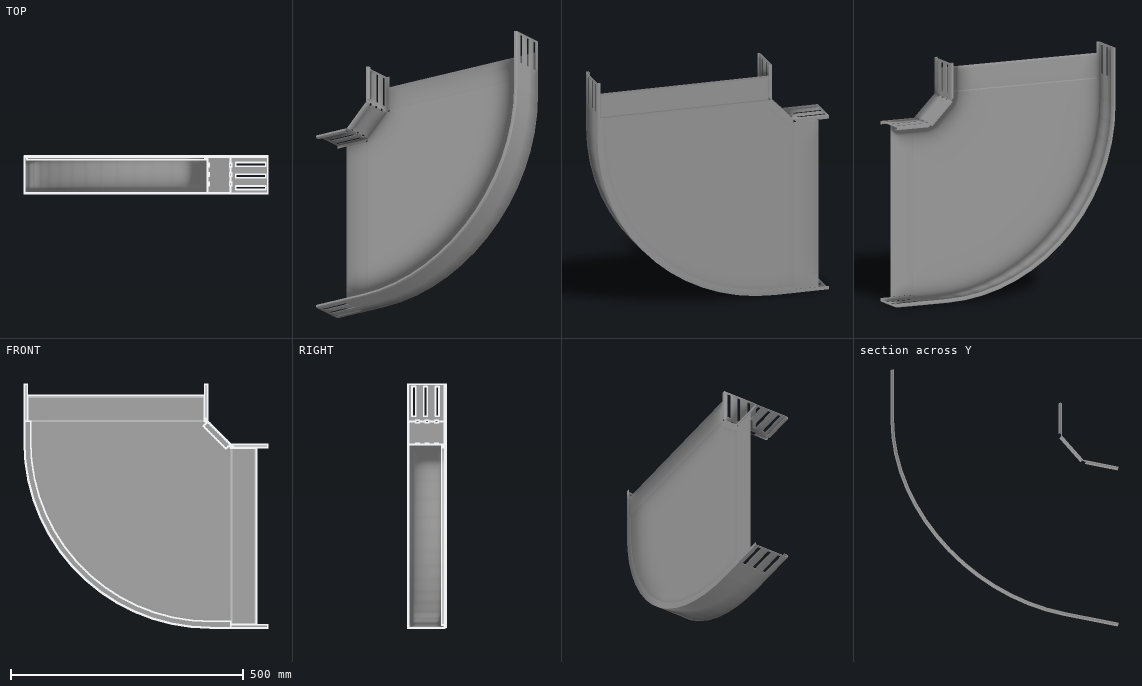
import cadquery as cq
import math

SPAN = 525.0
HEIGHT = 82.0
SHEET = 1.0
BEND_RADIUS = 401.0
TRAY_WIDTH = 396.0

LIP_WIDTH = 7.5
LIP_DEPTH = 9.5
LIP_BEVEL_WIDTH = 1.5
LIP_BEVEL_DEPTH = 3.5
NARROW_FLANGE = LIP_WIDTH
WIDE_FLANGE = 14.0

PLATE_Y = SHEET

TONGUE_ROOT = SPAN - 80.5
TONGUE_END = SPAN - 24.0
STEP_LENGTH = 2.5
TONGUE_Y = PLATE_Y / 2
END_LIP_LENGTH = 4.0
TONGUE_CLEARANCE = 0.5

SLOT_COUNT = 3
SLOT_LENGTH = 63.5
SLOT_WIDTH = 7.5
SLOT_PITCH = 25.0
SLOT_END_MARGIN = 5.0
MIDDLE_SLOT_Y = 38.0

PERFORATION_COUNT = 3
PERFORATION_SIZE = 4.5
PERFORATION_HEIGHT = 7.0


def mirrored(leg):
    """Copy of a leg along Z, reflected in the plane X = Z to lie along X."""
    return leg.mirror((1, 0, -1), (0, 0, 0))


def lip_points():
    """Folded lip, from the top of the wall's outer face round to its inner face."""
    bevel_y = HEIGHT - LIP_BEVEL_DEPTH
    hem_y = HEIGHT - LIP_DEPTH
    under_y = HEIGHT - SHEET
    return [
        (0, bevel_y),
        (LIP_BEVEL_WIDTH, HEIGHT),
        (LIP_WIDTH - LIP_BEVEL_WIDTH, HEIGHT),
        (LIP_WIDTH, bevel_y),
        (LIP_WIDTH, hem_y),
        (LIP_WIDTH - SHEET, hem_y),
        (LIP_WIDTH - SHEET, bevel_y),
        (LIP_WIDTH - LIP_BEVEL_WIDTH - SHEET / 2, under_y),
        (LIP_BEVEL_WIDTH + SHEET / 2, under_y),
        (SHEET, bevel_y),
    ]


def wall_section(plane, flange_width):
    """Closed wall section: local x runs into the tray, local y runs up the wall."""
    flange_points = [
        (SHEET, SHEET),
        (flange_width, SHEET),
        (flange_width, 0),
        (0, 0),
    ]
    return cq.Workplane(plane).polyline(lip_points() + flange_points).close()


def leg_slots():
    """Cutters for the connector slots, through both walls at the tray end along Z."""
    slot_z = SPAN - SLOT_END_MARGIN - SLOT_LENGTH / 2
    cutters = cq.Workplane("XY")
    for index in range(SLOT_COUNT):
        slot_y = MIDDLE_SLOT_Y + (index - (SLOT_COUNT - 1) / 2) * SLOT_PITCH
        cutter = cq.Workplane("XY").box(3 * TRAY_WIDTH, SLOT_WIDTH, SLOT_LENGTH)
        cutters = cutters.add(cutter.translate((0, slot_y, slot_z)))
    return cutters.combine()


def make_outer_wall():
    """Quarter-round outer wall with a straight leg at each end."""
    arc_end = cq.Plane(origin=(0, 0, BEND_RADIUS))
    curve = wall_section(arc_end, WIDE_FLANGE).revolve(90, (BEND_RADIUS, 0), (BEND_RADIUS, -1))
    lapped = wall_section(arc_end, WIDE_FLANGE).extrude(TONGUE_ROOT - BEND_RADIUS)
    tongue_root = cq.Plane(origin=(0, 0, TONGUE_ROOT))
    free_end = wall_section(tongue_root, NARROW_FLANGE).extrude(SPAN - TONGUE_ROOT)
    leg = lapped.union(free_end).cut(leg_slots())
    return curve.union(leg).union(mirrored(leg))


def make_inner_wall():
    """Inner wall: two straight legs joined by a 45 degree corner panel."""
    fold_run = TONGUE_ROOT - TRAY_WIDTH

    leg_end = cq.Plane(origin=(TRAY_WIDTH, 0, SPAN), xDir=(-1, 0, 0), normal=(0, 0, -1))
    leg = wall_section(leg_end, NARROW_FLANGE).extrude(SPAN - TONGUE_ROOT)
    miter_x = TRAY_WIDTH - SHEET
    miter = (
        cq.Workplane("XZ")
        .moveTo(miter_x, TONGUE_ROOT)
        .lineTo(miter_x - LIP_WIDTH, TONGUE_ROOT + LIP_WIDTH)
        .lineTo(miter_x - LIP_WIDTH, TONGUE_ROOT)
        .close()
        .extrude(-HEIGHT)
    )
    leg = leg.cut(miter).cut(leg_slots())

    fold = cq.Plane(origin=(TRAY_WIDTH, 0, TONGUE_ROOT), xDir=(-1, 0, -1), normal=(1, 0, -1))
    panel = wall_section(fold, WIDE_FLANGE).extrude(fold_run * math.sqrt(2))

    web_height = HEIGHT - LIP_BEVEL_DEPTH
    fold_fill = (
        cq.Workplane("XZ")
        .moveTo(TRAY_WIDTH, TONGUE_ROOT)
        .lineTo(TRAY_WIDTH - SHEET, TONGUE_ROOT)
        .lineTo(TRAY_WIDTH - SHEET / math.sqrt(2), TONGUE_ROOT - SHEET / math.sqrt(2))
        .close()
        .extrude(-web_height)
    )
    wall = panel
    for part in (leg, fold_fill):
        wall = wall.union(part).union(mirrored(part))

    for index in range(PERFORATION_COUNT):
        hole_y = HEIGHT * (index + 1) / (PERFORATION_COUNT + 1)
        hole = cq.Workplane("XY").box(PERFORATION_SIZE, PERFORATION_HEIGHT, PERFORATION_SIZE)
        hole = hole.translate((TRAY_WIDTH, hole_y, TONGUE_ROOT))
        wall = wall.cut(hole).cut(mirrored(hole))
    return wall


def make_floor_tongue():
    """Stepped connector tongue with a sloping end lip, along the tray end at high Z."""
    step_z = TONGUE_ROOT + STEP_LENGTH
    lip_z = TONGUE_END - END_LIP_LENGTH
    lower_face = [
        (PLATE_Y, TONGUE_ROOT),
        (TONGUE_Y, step_z),
        (TONGUE_Y, lip_z),
        (0, TONGUE_END),
    ]
    upper_face = [(y + SHEET, z) for y, z in reversed(lower_face)]
    left = NARROW_FLANGE + TONGUE_CLEARANCE
    length = TRAY_WIDTH - 2 * left
    section = cq.Workplane("YZ", origin=(left, 0, 0)).polyline(lower_face + upper_face)
    return section.close().extrude(length)


def make_floor():
    """Floor plate on the wall flanges, with a connector tongue at each tray end."""
    notch = SHEET * math.sqrt(2)
    arc_mid = BEND_RADIUS - (BEND_RADIUS - SHEET) / math.sqrt(2)
    plate = (
        cq.Workplane("XZ", origin=(0, PLATE_Y, 0))
        .moveTo(SHEET, TONGUE_ROOT)
        .lineTo(SHEET, BEND_RADIUS)
        .threePointArc((arc_mid, arc_mid), (BEND_RADIUS, SHEET))
        .lineTo(TONGUE_ROOT, SHEET)
        .lineTo(TONGUE_ROOT, TRAY_WIDTH - notch)
        .lineTo(TRAY_WIDTH - notch, TONGUE_ROOT)
        .close()
        .extrude(-SHEET)
    )
    tongue = make_floor_tongue()
    return plate.union(tongue).union(mirrored(tongue))


floor = make_floor()
outer_wall = make_outer_wall()
inner_wall = make_inner_wall()

result = cq.Compound.makeCompound([floor.val(), outer_wall.val(), inner_wall.val()])